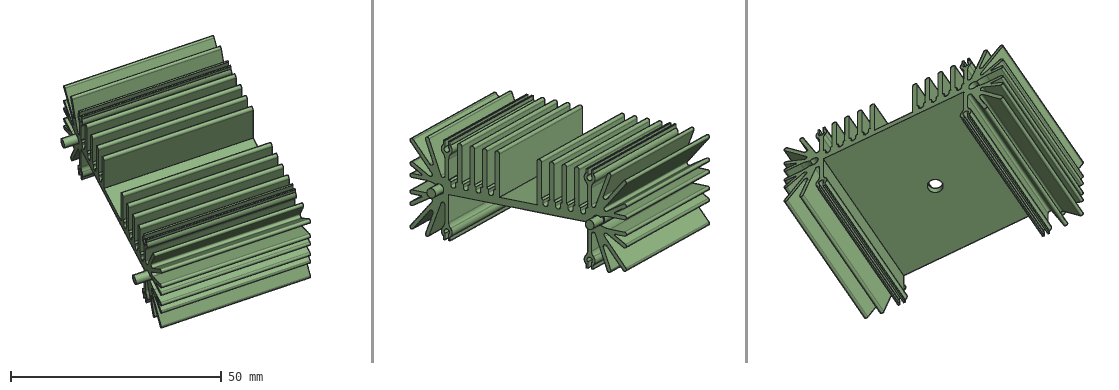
import cadquery as cq
import math

width = 60.0
height = 25.0
depth = 38.5
half_width = width / 2
half_height = height / 2

web_top = 0.95
web_bottom = -0.9
mount_hole_radius = 1.85
mount_hole_y = 18.55

fin_thickness = 1.25
fin_pitch = 3.5
fin_count = 4
inner_fin_x = 5.8
fin_root_width = 2.15
fin_root_height = 1.85
fin_root_chamfer = (fin_root_width - fin_thickness) / 2

stem_inner_x = 19.25
stem_thickness = 1.1
stem_outer_x = stem_inner_x + stem_thickness
fork_x = stem_inner_x + stem_thickness / 2
socket_z = 10.4
socket_outer_radius = 1.5
socket_inner_radius = 0.7
socket_neck_radius = 1.9
prong_outer_width = 1.9
prong_gap = 1.0

radial_half = 0.51
stem_angle = 90
steep_angle = 69
middle_angle = 49.5
shallow_angle = 30
level_angle = 0
steep_tip_x = 25.2
middle_tip_z = 10.9
shallow_tip_z = 5.05
tip_x = half_width - radial_half
steep_tip = (steep_tip_x, half_height - radial_half)
middle_tip = (tip_x, middle_tip_z)
shallow_tip = (tip_x, shallow_tip_z)
groove_radius = 0.55
sharp_groove_radius = 0.2

level_fin_bottom = 1.55
level_tip = (tip_x, level_fin_bottom + radial_half)
flare_start_x = 25.45
flare_radius = 6.0

pin_x = 21.95
pin_shank_radius = 1.3
pin_tail_radius = 1.2
pin_front_y = -3.6
pin_taper_y = 0.9
pin_taper_length = 0.25
pin_back_y = 6.1


def extrude(sketch):
    """Extrude a profile drawn in the XZ plane over the depth of the heat sink."""
    return sketch.extrude(-depth)


def box(x_min, x_max, z_min, z_max):
    """Full-depth bar between two X and two Z limits."""
    sketch = cq.Workplane("XZ").center((x_min + x_max) / 2, (z_min + z_max) / 2)
    return extrude(sketch.rect(x_max - x_min, z_max - z_min))


def rod(x, z, radius):
    """Full-depth round bar."""
    return extrude(cq.Workplane("XZ").center(x, z).circle(radius))


def offset_point(tip, angle, along, across):
    """Point measured from a fin tip, along its outward direction and to the left of it."""
    cosine = math.cos(math.radians(angle))
    sine = math.sin(math.radians(angle))
    return (tip[0] + along * cosine - across * sine, tip[1] + along * sine + across * cosine)


def crossing(point_a, angle_a, point_b, angle_b):
    """Point where two sloped lines meet."""
    ax, az = math.cos(math.radians(angle_a)), math.sin(math.radians(angle_a))
    bx, bz = math.cos(math.radians(angle_b)), math.sin(math.radians(angle_b))
    along = ((point_b[0] - point_a[0]) * bz - (point_b[1] - point_a[1]) * bx) / (ax * bz - az * bx)
    return (point_a[0] + along * ax, point_a[1] + along * az)


def left_side(tip, angle):
    """End of a fin's left face, looking outward along the fin."""
    return offset_point(tip, angle, 0, radial_half)


def right_side(tip, angle):
    """End of a fin's right face, looking outward along the fin."""
    return offset_point(tip, angle, 0, -radial_half)


def nose(tip, angle):
    """Outermost point of a fin's rounded tip."""
    return offset_point(tip, angle, radial_half, 0)


def flare_point(run):
    """Point of the flare, which leaves the level fin tangentially and curves in toward the pin."""
    drop = flare_radius - math.sqrt(flare_radius**2 - run**2)
    return (flare_start_x - run, level_fin_bottom - drop)


def make_fan():
    """Upper half of the right-hand fan: stem wall, three radial fins and the level fin."""
    steep_left = left_side(steep_tip, steep_angle)
    steep_right = right_side(steep_tip, steep_angle)
    middle_left = left_side(middle_tip, middle_angle)
    middle_right = right_side(middle_tip, middle_angle)
    shallow_left = left_side(shallow_tip, shallow_angle)
    shallow_right = right_side(shallow_tip, shallow_angle)
    level_left = left_side(level_tip, level_angle)
    level_right = right_side(level_tip, level_angle)

    steep_groove = crossing((stem_outer_x, 0), stem_angle, steep_left, steep_angle)
    upper_groove = crossing(steep_right, steep_angle, middle_left, middle_angle)
    lower_groove = crossing(middle_right, middle_angle, shallow_left, shallow_angle)
    level_groove = crossing(shallow_right, shallow_angle, level_left, level_angle)

    flare_run = flare_start_x - pin_x
    fan = extrude(
        cq.Workplane("XZ")
        .moveTo(stem_inner_x, 0)
        .lineTo(stem_inner_x, socket_z)
        .lineTo(stem_outer_x, socket_z)
        .lineTo(*steep_groove)
        .lineTo(*steep_left)
        .threePointArc(nose(steep_tip, steep_angle), steep_right)
        .lineTo(*upper_groove)
        .lineTo(*middle_left)
        .threePointArc(nose(middle_tip, middle_angle), middle_right)
        .lineTo(*lower_groove)
        .lineTo(*shallow_left)
        .threePointArc(nose(shallow_tip, shallow_angle), shallow_right)
        .lineTo(*level_groove)
        .lineTo(*level_left)
        .threePointArc(nose(level_tip, level_angle), level_right)
        .lineTo(flare_start_x, level_fin_bottom)
        .threePointArc(flare_point(flare_run / 2), flare_point(flare_run))
        .lineTo(pin_x, 0)
        .close()
    )
    for groove, radius in [
        (steep_groove, groove_radius),
        (upper_groove, groove_radius),
        (lower_groove, groove_radius),
        (level_groove, sharp_groove_radius),
    ]:
        root = (groove[0], depth / 2, groove[1])
        fan = fan.edges(cq.selectors.NearestToPointSelector(root)).fillet(radius)
    return fan


def make_fork():
    """Open screw socket at the top of a stem, blended into the stem by a concave neck."""
    neck_x = stem_thickness / 2 + socket_neck_radius
    neck_drop = math.sqrt((socket_outer_radius + socket_neck_radius) ** 2 - neck_x**2)
    touch_share = socket_outer_radius / (socket_outer_radius + socket_neck_radius)
    touch_x = neck_x * touch_share
    touch_z = socket_z - neck_drop * touch_share
    neck = extrude(
        cq.Workplane("XZ")
        .moveTo(fork_x + stem_thickness / 2, socket_z - neck_drop)
        .radiusArc((fork_x + touch_x, touch_z), socket_neck_radius)
        .lineTo(fork_x - touch_x, touch_z)
        .radiusArc((fork_x - stem_thickness / 2, socket_z - neck_drop), socket_neck_radius)
        .close()
    )
    half_prong = prong_outer_width / 2
    prongs = box(fork_x - half_prong, fork_x + half_prong, socket_z, half_height)
    return neck.union(rod(fork_x, socket_z, socket_outer_radius)).union(prongs)


def make_socket_cutter():
    """Screw bore and the slot that opens it between the prongs."""
    half_gap = prong_gap / 2
    slot = box(fork_x - half_gap, fork_x + half_gap, socket_z, half_height)
    return rod(fork_x, socket_z, socket_inner_radius).union(slot)


def make_gap_cutter(x):
    """Gap beside a fin root: round floor, narrow throat and a chamfered mouth."""
    root_top = web_top + fin_root_height
    throat = (fin_pitch - fin_root_width) / 2
    mouth = throat + fin_root_chamfer
    return extrude(
        cq.Workplane("XZ")
        .moveTo(x - mouth, root_top)
        .lineTo(x - throat, root_top - fin_root_chamfer)
        .lineTo(x - throat, web_top + throat)
        .threePointArc((x, web_top), (x + throat, web_top + throat))
        .lineTo(x + throat, root_top - fin_root_chamfer)
        .lineTo(x + mouth, root_top)
        .close()
    )


def make_fin_bank():
    """Straight fins of the right side, standing on a root block split by the gaps."""
    half_fin = fin_thickness / 2
    bank = box(inner_fin_x - half_fin, stem_inner_x, 0, web_top + fin_root_height)
    for index in range(fin_count):
        x = inner_fin_x + index * fin_pitch
        bank = bank.cut(make_gap_cutter(x + fin_pitch / 2))
        bank = bank.union(box(x - half_fin, x + half_fin, web_top, half_height - half_fin))
        bank = bank.union(rod(x, half_height - half_fin, half_fin))
    return bank


def make_heat_sink():
    """Extruded heat sink, symmetric left to right, with its mounting hole and pin holes."""
    quarter = make_fan().union(make_fork()).cut(make_socket_cutter())
    side = quarter.union(quarter.mirror("XY")).union(make_fin_bank())
    side = side.cut(rod(pin_x, 0, pin_shank_radius))
    web = box(-stem_inner_x, stem_inner_x, web_bottom, web_top)
    body = web.union(side).union(side.mirror("YZ"))
    mount_hole = (
        cq.Workplane("XY", origin=(0, mount_hole_y, web_bottom))
        .circle(mount_hole_radius)
        .extrude(web_top - web_bottom)
    )
    return body.cut(mount_hole)


def make_pin(x):
    """Solder pin along Y: shank pressed into the heat sink, tapering to a thinner tail in front."""
    half_profile = (
        cq.Workplane("XY")
        .moveTo(0, pin_front_y)
        .lineTo(pin_tail_radius, pin_front_y)
        .lineTo(pin_tail_radius, pin_taper_y)
        .lineTo(pin_shank_radius, pin_taper_y + pin_taper_length)
        .lineTo(pin_shank_radius, pin_back_y)
        .lineTo(0, pin_back_y)
        .close()
    )
    return half_profile.revolve(360, (0, 0), (0, 1)).translate((x, 0, 0))


heat_sink = make_heat_sink().solids()
pins = [make_pin(x) for x in (-pin_x, pin_x)]
result = cq.Compound.makeCompound([heat_sink.val(), *[pin.val() for pin in pins]])